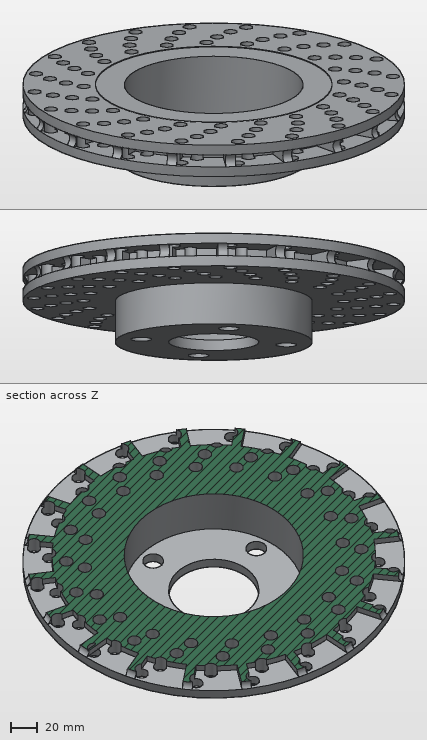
import cadquery as cq
import math


disc_radius = 144.0
disc_thickness = 25.0
plate_thickness = 7.8
hub_radius = 89.3
hub_recess = 0.5

total_height = 56.5
hat_outer_radius = 74.3
hat_inner_radius = 67.5
hat_floor = 8.0
bore_radius = 34.0

bolt_count = 4
bolt_circle_radius = 56.0
bolt_hole_diameter = 15.5

row_count = 20
drill_diameter = 9.8
hole_radii = [98.2, 111.5, 124.0, 136.2]
inner_hole_angle = 7.0
hole_angle_step = -4.5

gap_inner_radius = 122.0
vane_width = 7.5
vane_overlap = 3.0
rim_groove_depth = 3.0

web_thickness = 1.7
web_vane_index = 4

disc_bottom = total_height - disc_thickness
gap_bottom = disc_bottom + plate_thickness
gap_top = total_height - plate_thickness
gap_height = gap_top - gap_bottom
gap_middle = (gap_bottom + gap_top) / 2
row_pitch = 360 / row_count
vane_angle = row_pitch / 2
web_vane_angle = vane_angle + web_vane_index * row_pitch


def polar(radius, angle):
    """Point at a radius and an angle in degrees."""
    return (radius * math.cos(math.radians(angle)), radius * math.sin(math.radians(angle)))


def cylinder(radius, bottom, top):
    return cq.Workplane("XY").workplane(offset=bottom).circle(radius).extrude(top - bottom)


def make_body():
    """Solid disc and hat, with the hat hollowed from above."""
    body = cylinder(disc_radius, disc_bottom, total_height)
    body = body.union(cylinder(hat_outer_radius, 0, disc_bottom))
    body = body.cut(cylinder(hub_radius, total_height - hub_recess, total_height))
    body = body.cut(cylinder(hat_inner_radius, hat_floor, total_height))
    return body.cut(cylinder(bore_radius, 0, hat_floor))


def repeat_around(solid):
    """Copies of a solid, one per row pitch around the axis."""
    copies = cq.Workplane("XY")
    for index in range(row_count):
        copies.add(solid.rotate((0, 0, 0), (0, 0, 1), index * row_pitch).vals())
    return copies.combine()


def radial_block(inner_radius, outer_radius, width, side_offset):
    """Block in the air gap running outward along +X, shifted sideways by side_offset."""
    return (
        cq.Workplane("XY")
        .workplane(offset=gap_bottom)
        .center((inner_radius + outer_radius) / 2, side_offset)
        .rect(outer_radius - inner_radius, width)
        .extrude(gap_height)
    )


def cut_rim_groove(vanes):
    """Round out the outer ends with a groove along the middle of the air gap."""
    groove = (
        cq.Workplane("XZ")
        .moveTo(disc_radius, gap_bottom)
        .threePointArc((disc_radius - rim_groove_depth, gap_middle), (disc_radius, gap_top))
        .close()
        .revolve(360, (0, 0, 0), (0, 1, 0))
    )
    return vanes.cut(groove).intersect(cylinder(disc_radius, gap_bottom, gap_top))


def make_vanes():
    """Radial vanes, sunk slightly into the inner wall of the air gap."""
    vane = radial_block(gap_inner_radius - vane_overlap, disc_radius, vane_width, 0)
    vanes = repeat_around(vane.rotate((0, 0, 0), (0, 0, 1), vane_angle))
    return cut_rim_groove(vanes)


def make_air_gap():
    """Slot between the plates, open at the rim and divided by the vanes."""
    gap = cylinder(disc_radius, gap_bottom, gap_top)
    gap = gap.cut(cylinder(gap_inner_radius, gap_bottom, gap_top))
    return gap.cut(make_vanes())


def make_cross_drilling():
    row = [
        polar(radius, inner_hole_angle + index * hole_angle_step)
        for index, radius in enumerate(hole_radii)
    ]
    drills = (
        cq.Workplane("XY")
        .workplane(offset=disc_bottom)
        .pushPoints(row)
        .circle(drill_diameter / 2)
        .extrude(disc_thickness)
    )
    return repeat_around(drills)


def make_web():
    """Thin web along the side of one vane, left whole across the hole beside it."""
    side_offset = (vane_width + web_thickness) / 2
    web = radial_block(gap_inner_radius - vane_overlap, disc_radius, web_thickness, side_offset)
    return cut_rim_groove(web.rotate((0, 0, 0), (0, 0, 1), web_vane_angle))


def make_bolt_holes():
    return (
        cq.Workplane("XY")
        .polarArray(bolt_circle_radius, 0, 360, bolt_count)
        .circle(bolt_hole_diameter / 2)
        .extrude(hat_floor)
    )


result = (
    make_body()
    .cut(make_air_gap())
    .cut(make_cross_drilling())
    .cut(make_bolt_holes())
    .union(make_web())
)